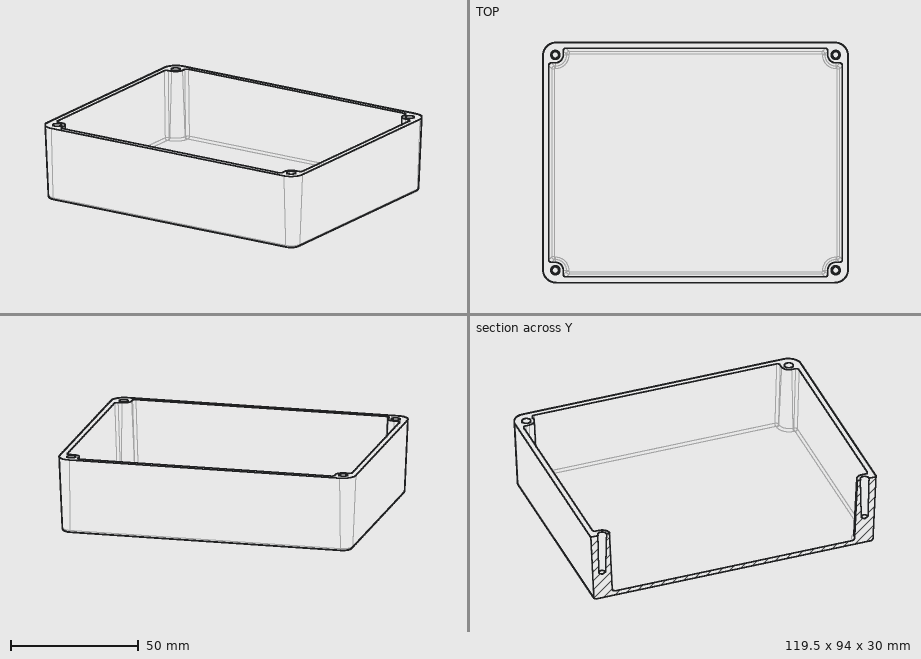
import cadquery as cq
import math

length = 119.5
width = 94.0
height = 30.0

draft_angle = 2.5
draft_slope = math.tan(math.radians(draft_angle))

corner_radius = 5.3
base_fillet = 1.2

rim_width = 2.3
floor_thickness = 2.2
floor_fillet = 1.0

column_inset = 4.9
column_radius = 3.1
column_corner_fillet = 1.1

end_diameter = 2.6
mouth_diameter = 3.5
hole_depth = 17.9
end_cone_angle = 118.0

column_x = length / 2 - column_inset
column_y = width / 2 - column_inset


def cavity_outline(z, inset):
    """Cavity outline at height z: the walls and the columns both grow by inset."""
    half_length = length / 2 - rim_width - inset
    half_width = width / 2 - rim_width - inset
    radius = column_radius + inset
    fillet = column_corner_fillet
    inner_x = column_x - radius
    inner_y = column_y - radius
    arc_offset = fillet * (1 - math.sqrt(0.5))
    bulge = radius * math.sqrt(0.5)

    corner = [
        (inner_x - fillet, half_width),
        (inner_x - arc_offset, half_width - arc_offset),
        (inner_x, half_width - fillet),
        (inner_x, column_y),
        (column_x - bulge, column_y - bulge),
        (column_x, inner_y),
        (half_length - fillet, inner_y),
        (half_length - arc_offset, inner_y - arc_offset),
        (half_length, inner_y - fillet),
    ]

    outline = cq.Workplane("XY", origin=(0, 0, z)).moveTo(-corner[0][0], corner[0][1])
    for sign_x, sign_y in ((1, 1), (1, -1), (-1, -1), (-1, 1)):
        points = [(sign_x * x, sign_y * y) for x, y in corner]
        if sign_x != sign_y:
            points.reverse()
        outline = (
            outline.lineTo(*points[0])
            .threePointArc(points[1], points[2])
            .lineTo(*points[3])
            .threePointArc(points[4], points[5])
            .lineTo(*points[6])
            .threePointArc(points[7], points[8])
        )
    return outline.close()


def make_shell():
    """Drafted block with rounded corners and a rounded base edge."""
    top = cq.Sketch().rect(length, width).vertices().fillet(corner_radius)
    block = (
        cq.Workplane("XY", origin=(0, 0, height))
        .placeSketch(top)
        .extrude(-height, taper=draft_angle)
    )
    return block.faces("<Z").edges().fillet(base_fillet)


def make_cavity():
    """Drafted cavity that leaves the corner columns standing, with a rounded floor edge."""
    depth = height - floor_thickness
    lower = cavity_outline(floor_thickness, depth * draft_slope)
    upper = cavity_outline(height, 0)
    cavity = cq.Workplane(cq.Solid.makeLoft([lower.val(), upper.val()], True))
    return cavity.faces("<Z").edges().fillet(floor_fillet)


def make_screw_hole():
    """Revolved cutter: a tapered bore with a conical end."""
    end = end_diameter / 2
    mouth = mouth_diameter / 2
    point_length = end / math.tan(math.radians(end_cone_angle / 2))
    profile = [
        (0, 0),
        (mouth, 0),
        (end, -hole_depth),
        (0, -hole_depth - point_length),
    ]
    return cq.Workplane("XZ").polyline(profile).close().revolve(360, (0, 0, 0), (0, 1, 0))


result = make_shell().cut(make_cavity())
screw_hole = make_screw_hole()
for x in (-column_x, column_x):
    for y in (-column_y, column_y):
        result = result.cut(screw_hole.translate((x, y, height)))